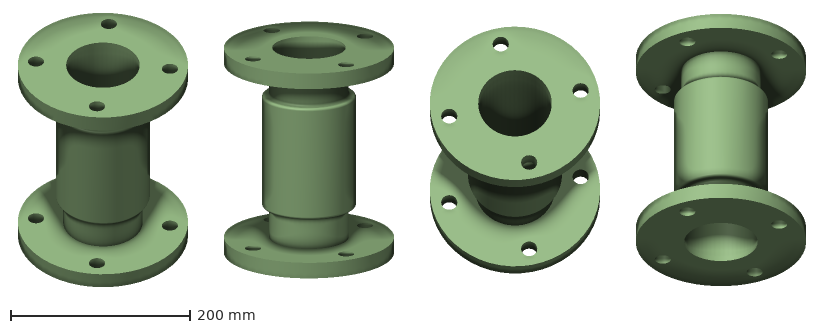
import cadquery as cq

length = 240.0
bore_diameter = 82.0

flange_diameter = 190.0
flange_thickness = 18.2
bolt_circle_diameter = 150.0
bolt_hole_diameter = 18.0
bolt_hole_count = 4
first_bolt_hole_angle = 45.0

pipe_diameter = 88.8
sleeve_diameter = 105.0
sleeve_length = 130.0
sleeve_rim_radius = 3.0
sleeve_root_radius = 3.0


def cylinder(diameter, height, center_z=0.0):
    """Solid cylinder on the Z axis, centred at the given height."""
    base = cq.Workplane("XY", origin=(0, 0, center_z - height / 2))
    return base.circle(diameter / 2).extrude(height)


def sleeve():
    """Sleeve with rounded rims, flaring out of the pipe through a concave fillet at each end."""
    pipe_radius = pipe_diameter / 2
    sleeve_radius = sleeve_diameter / 2
    shoulder_z = sleeve_length / 2
    root_z = shoulder_z + sleeve_root_radius
    rim_z = shoulder_z - sleeve_rim_radius
    upper_half = (
        cq.Workplane("XZ")
        .lineTo(sleeve_radius, 0)
        .lineTo(sleeve_radius, rim_z)
        .radiusArc((sleeve_radius - sleeve_rim_radius, shoulder_z), -sleeve_rim_radius)
        .lineTo(pipe_radius + sleeve_root_radius, shoulder_z)
        .radiusArc((pipe_radius, root_z), sleeve_root_radius)
        .lineTo(0, root_z)
        .close()
        .revolve(360, (0, 0, 0), (0, 1, 0))
    )
    return upper_half.mirror("XY", union=True)


def flange(center_z):
    """Round flange with an even ring of bolt holes through it."""
    disc = cylinder(flange_diameter, flange_thickness, center_z)
    return (
        disc.faces(">Z")
        .workplane()
        .polarArray(bolt_circle_diameter / 2, first_bolt_hole_angle, 360, bolt_hole_count)
        .hole(bolt_hole_diameter)
    )


flange_center_z = (length - flange_thickness) / 2
result = cylinder(pipe_diameter, length).union(sleeve())
for flange_z in (-flange_center_z, flange_center_z):
    result = result.union(flange(flange_z))
result = result.cut(cylinder(bore_diameter, length))